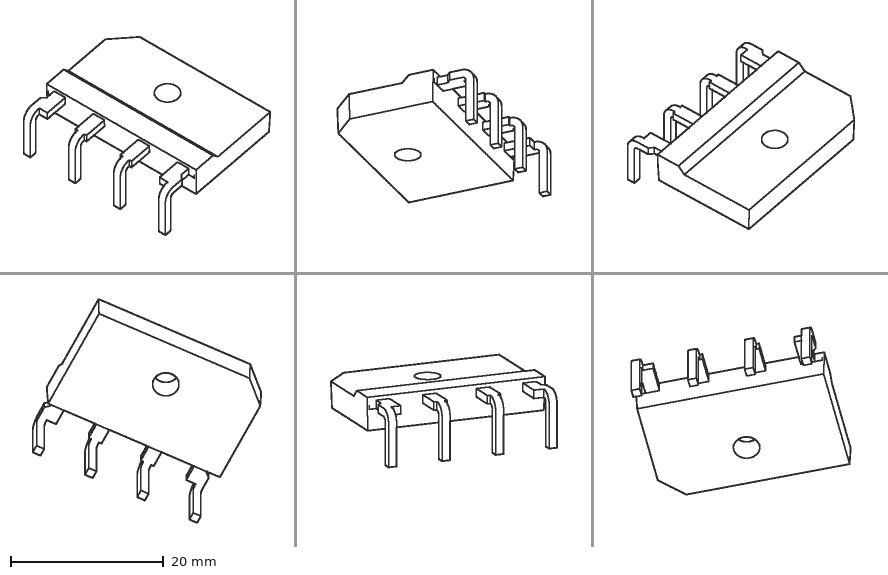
import cadquery as cq
import math

body_width = 25.3
body_depth = 15.3
body_height = 4.6
parting_drop = 1.16
step_height = 0.99
bar_depth = 3.5
corner_cut = 3.2
draft_angle = 2.0
hole_diameter = 3.45
hole_y = 9.51

parting_z = body_height - parting_drop
main_top_z = body_height - step_height

lead_pitch = 7.62
lead_thickness = 1.15
leg_width = 1.15
neck_width = 1.9
lead_top_drop = 0.53
lead_reach = 5.55
bend_radius = 1.67
lead_drop = 8.17
neck_length = 3.7
neck_embed = 1.26
shoulder_start = 1.55
shoulder_end = 2.07

lead_top_z = body_height - lead_top_drop
lead_bottom_z = lead_top_z - lead_thickness
leg_bottom_z = body_height - lead_drop
inner_lead_x = lead_pitch / 2
outer_lead_x = lead_pitch * 1.5
outer_leg_edge_x = outer_lead_x + leg_width / 2
outer_neck_edge_x = 11.38
outer_neck_inner_x = outer_neck_edge_x - neck_width

tab_edge_x = 12.35


def make_body():
    half_width = body_width / 2
    outline = [
        (-half_width, 0),
        (half_width, 0),
        (half_width, body_depth),
        (-half_width + corner_cut, body_depth),
        (-half_width, body_depth - corner_cut),
    ]
    upper = cq.Workplane("XY", origin=(0, 0, parting_z)).polyline(outline).close().extrude(parting_drop)
    lower = (
        cq.Workplane("XY", origin=(0, 0, parting_z))
        .polyline(outline)
        .close()
        .extrude(-parting_z, taper=draft_angle)
    )
    relief = (
        cq.Workplane("YZ")
        .moveTo(bar_depth, body_height)
        .lineTo(bar_depth + step_height, main_top_z)
        .lineTo(body_depth, main_top_z)
        .lineTo(body_depth, body_height)
        .close()
        .extrude(half_width, both=True)
    )
    hole = cq.Workplane("XY").center(0, hole_y).circle(hole_diameter / 2).extrude(body_height)
    return upper.union(lower).cut(relief).cut(hole)


def make_tab():
    width = tab_edge_x - outer_neck_inner_x
    height = parting_z - lead_bottom_z
    return cq.Workplane("XY", origin=(outer_neck_inner_x, 0, lead_bottom_z)).box(
        width, neck_embed, height, centered=False
    )


def make_bent_strip():
    """Bent strip wide enough to cover both lead shapes."""
    bend_y = -lead_reach + bend_radius
    bend_z = lead_top_z - bend_radius
    inner_radius = bend_radius - lead_thickness
    diagonal = math.sqrt(0.5)
    return (
        cq.Workplane("YZ")
        .moveTo(neck_embed, lead_top_z)
        .lineTo(bend_y, lead_top_z)
        .threePointArc(
            (bend_y - bend_radius * diagonal, bend_z + bend_radius * diagonal),
            (-lead_reach, bend_z),
        )
        .lineTo(-lead_reach, leg_bottom_z)
        .lineTo(-lead_reach + lead_thickness, leg_bottom_z)
        .lineTo(-lead_reach + lead_thickness, bend_z)
        .threePointArc(
            (bend_y - inner_radius * diagonal, bend_z + inner_radius * diagonal),
            (bend_y, lead_bottom_z),
        )
        .lineTo(neck_embed, lead_bottom_z)
        .close()
        .extrude(body_width)
    )


def make_lead(plan_outline):
    """Trim the bent strip to its outline in the XY plane."""
    plan = (
        cq.Workplane("XY", origin=(0, 0, leg_bottom_z))
        .polyline(plan_outline)
        .close()
        .extrude(lead_top_z - leg_bottom_z)
    )
    return make_bent_strip().intersect(plan)


inner_outline = [
    (inner_lead_x - neck_width / 2, neck_embed),
    (inner_lead_x - neck_width / 2, -neck_length),
    (inner_lead_x - leg_width / 2, -neck_length),
    (inner_lead_x - leg_width / 2, -lead_reach),
    (inner_lead_x + leg_width / 2, -lead_reach),
    (inner_lead_x + leg_width / 2, -neck_length),
    (inner_lead_x + neck_width / 2, -neck_length),
    (inner_lead_x + neck_width / 2, neck_embed),
]
outer_outline = [
    (outer_neck_inner_x, neck_embed),
    (outer_neck_inner_x, -neck_length),
    (outer_lead_x - leg_width / 2, -neck_length),
    (outer_lead_x - leg_width / 2, -lead_reach),
    (outer_leg_edge_x, -lead_reach),
    (outer_leg_edge_x, -shoulder_end),
    (outer_neck_edge_x, -shoulder_start),
    (outer_neck_edge_x, neck_embed),
]

result = make_body()
for feature in (make_lead(inner_outline), make_lead(outer_outline), make_tab()):
    result = result.union(feature).union(feature.mirror("YZ"))